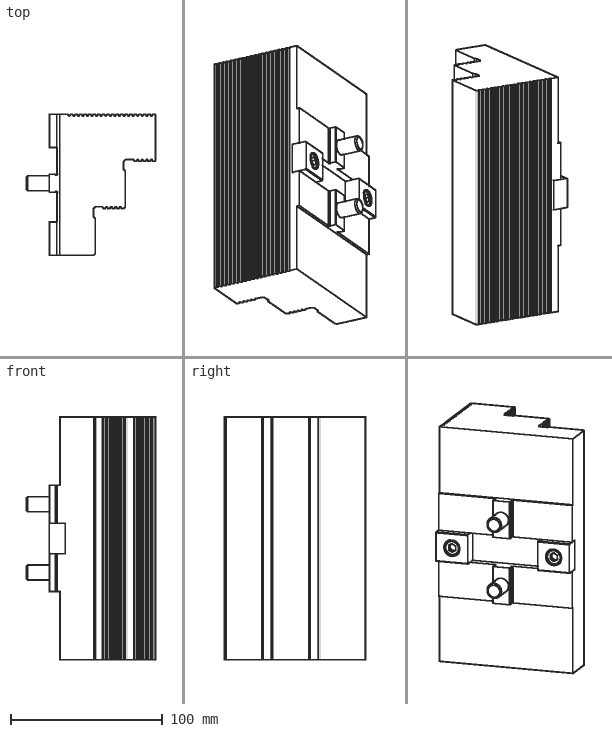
import cadquery as cq
import math


JAW_LENGTH = 160.0
JAW_WIDTH = 93.0
JAW_FRONT_X = 65.0
JAW_TOP_Y = 45.5
JAW_BOTTOM_Y = JAW_TOP_Y - JAW_WIDTH
STEP_HEIGHT = 31.0
STEP_DEPTH = 19.8
MIDDLE_FACE_X = JAW_FRONT_X - STEP_DEPTH
LOW_FACE_X = MIDDLE_FACE_X - STEP_DEPTH
FIRST_SHELF_Y = JAW_TOP_Y - STEP_HEIGHT
SECOND_SHELF_Y = FIRST_SHELF_Y - STEP_HEIGHT
OUTER_CORNER_RADIUS = 0.8
STEP_CORNER_CHAMFER = 1.1

GROOVE_DEPTH = 1.1
GROOVE_MOUTH = 1.8
GROOVE_FLOOR = 0.5
GROOVE_PITCH = 54.0 / 18
SIDE_GROOVE_COUNT = 19
SHELF_GROOVE_COUNT = 4
FRONT_LAND = 2.7
MIDDLE_LAND = 3.4
RELIEF_LENGTH = 5.3
RELIEF_RADIUS = 2.0

PAD_HEIGHT = 2.0
PAD_LENGTH = 70.0
TONGUE_HEIGHT = 5.1
TONGUE_WIDTH = 12.0
TONGUE_CHAMFER = 0.5
TONGUE_RELIEF_RADIUS = 0.6
TONGUE_RELIEF_OFFSET = 0.3
BLOCK_THICKNESS = 10.5
BLOCK_HEIGHT = 20.0
BLOCK_LENGTH = 22.0
BLOCK_CHAMFER = 0.5
BACK_X = -TONGUE_HEIGHT
SLOT_FLOOR_X = BACK_X + BLOCK_THICKNESS

PIN_DIAMETER = 10.0
PIN_CHAMFER = 1.0
PIN_TIP_X = JAW_FRONT_X - 85.0
PIN_SEAT_DEPTH = 14.9
PIN_SPACING = 45.0
PIN_LENGTH = BACK_X - PIN_TIP_X + PIN_SEAT_DEPTH

HEAD_DIAMETER = 10.0
HEAD_HEIGHT = 6.0
HEAD_CHAMFER = 0.5
HEAD_SINK = 0.5
COUNTERBORE_DIAMETER = 11.0
SHANK_DIAMETER = 6.0
SHANK_LENGTH = 15.0
SOCKET_WIDTH = 5.0
SOCKET_DEPTH = 3.0
SOCKET_CONE_DEPTH = SOCKET_WIDTH / 2 / math.tan(math.radians(60))
HEAD_X = BACK_X + HEAD_SINK
HEAD_SEAT_X = HEAD_X + HEAD_HEIGHT

BLOCK_CENTERS_Y = (JAW_TOP_Y - BLOCK_LENGTH / 2, JAW_BOTTOM_Y + BLOCK_LENGTH / 2)
PIN_CENTERS_Z = (-PIN_SPACING / 2, PIN_SPACING / 2)


def box(x_range, y_range, z_range):
    """Box between two limits on each axis."""
    (x0, x1), (y0, y1), (z0, z1) = x_range, y_range, z_range
    return cq.Workplane("XY").box(x1 - x0, y1 - y0, z1 - z0, centered=False).translate((x0, y0, z0))


def x_cylinder(diameter, x_start, length, y, z):
    """Cylinder along +X from x_start."""
    return cq.Workplane("YZ", origin=(x_start, y, z)).circle(diameter / 2).extrude(length)


def jaw_prism(outline):
    """Closed outline extruded over the whole jaw length."""
    return outline.extrude(JAW_LENGTH / 2, both=True)


def shelf_recess(wall_face_x, shelf_y, last_groove_x):
    """Recess along the inner corner of a step: sunk shelf, rounded corner and wall relief."""
    wall_x = wall_face_x - GROOVE_DEPTH
    floor_y = shelf_y + GROOVE_DEPTH
    relief_end_y = shelf_y - RELIEF_LENGTH
    arc_offset = RELIEF_RADIUS * (1 - math.sqrt(0.5))
    outline = (
        cq.Workplane("XY")
        .moveTo(wall_face_x, relief_end_y - GROOVE_DEPTH)
        .lineTo(wall_x, relief_end_y)
        .lineTo(wall_x, floor_y - RELIEF_RADIUS)
        .threePointArc((wall_x + arc_offset, floor_y - arc_offset), (wall_x + RELIEF_RADIUS, floor_y))
        .lineTo(last_groove_x + GROOVE_FLOOR / 2, floor_y)
        .lineTo(last_groove_x + GROOVE_MOUTH / 2, shelf_y)
        .lineTo(wall_face_x, shelf_y)
        .close()
    )
    return jaw_prism(outline)


def serrations(first_x, count, crest_y, inward):
    """Trapezoid grooves stepping toward -X; inward is the Y direction into the material."""
    grooves = cq.Workplane("XY")
    floor_y = crest_y + inward * GROOVE_DEPTH
    for index in range(count):
        x = first_x - index * GROOVE_PITCH
        outline = cq.Workplane("XY").polyline([
            (x - GROOVE_MOUTH / 2, crest_y),
            (x - GROOVE_FLOOR / 2, floor_y),
            (x + GROOVE_FLOOR / 2, floor_y),
            (x + GROOVE_MOUTH / 2, crest_y),
        ]).close()
        grooves = grooves.add(jaw_prism(outline))
    return grooves.combine()


def stepped_body():
    """Staircase prism with rounded and chamfered edges, serrated crests and relieved inner corners."""
    outline = cq.Workplane("XY").polyline([
        (PAD_HEIGHT, JAW_TOP_Y),
        (JAW_FRONT_X, JAW_TOP_Y),
        (JAW_FRONT_X, FIRST_SHELF_Y),
        (MIDDLE_FACE_X, FIRST_SHELF_Y),
        (MIDDLE_FACE_X, SECOND_SHELF_Y),
        (LOW_FACE_X, SECOND_SHELF_Y),
        (LOW_FACE_X, JAW_BOTTOM_Y),
        (PAD_HEIGHT, JAW_BOTTOM_Y),
    ]).close()
    body = jaw_prism(outline)

    def edge_at(x, y):
        return cq.selectors.NearestToPointSelector((x, y, 0))

    for y in (JAW_TOP_Y, FIRST_SHELF_Y):
        body = body.edges(edge_at(JAW_FRONT_X, y)).fillet(OUTER_CORNER_RADIUS)
    for x, y in ((MIDDLE_FACE_X, SECOND_SHELF_Y), (LOW_FACE_X, JAW_BOTTOM_Y)):
        body = body.edges(edge_at(x, y)).chamfer(STEP_CORNER_CHAMFER)

    front_groove_x = JAW_FRONT_X - FRONT_LAND
    middle_groove_x = MIDDLE_FACE_X - MIDDLE_LAND
    shelf_span = SHELF_GROOVE_COUNT * GROOVE_PITCH
    return (
        body
        .cut(serrations(front_groove_x, SIDE_GROOVE_COUNT, JAW_TOP_Y, -1))
        .cut(serrations(front_groove_x, SHELF_GROOVE_COUNT, FIRST_SHELF_Y, 1))
        .cut(serrations(middle_groove_x, SHELF_GROOVE_COUNT, SECOND_SHELF_Y, 1))
        .cut(shelf_recess(MIDDLE_FACE_X, FIRST_SHELF_Y, front_groove_x - shelf_span))
        .cut(shelf_recess(LOW_FACE_X, SECOND_SHELF_Y, middle_groove_x - shelf_span))
    )


def pad_and_tongue():
    """Raised pad carrying the chamfered tongue, with a round relief along each foot of the tongue."""
    z_range = (-PAD_LENGTH / 2, PAD_LENGTH / 2)
    half_width = TONGUE_WIDTH / 2
    pad = box((0, PAD_HEIGHT), (JAW_BOTTOM_Y, JAW_TOP_Y), z_range)
    tongue = box((BACK_X, 0), (-half_width, half_width), z_range)
    tongue = tongue.faces("<X").edges("|Z").chamfer(TONGUE_CHAMFER)
    relief_centers = [(-TONGUE_RELIEF_OFFSET, y) for y in (-half_width, half_width)]
    reliefs = (
        cq.Workplane("XY")
        .pushPoints(relief_centers)
        .circle(TONGUE_RELIEF_RADIUS)
        .extrude(PAD_LENGTH / 2, both=True)
    )
    return pad.union(tongue).cut(reliefs)


def make_jaw():
    """Complete jaw with cross slot, pin holes and screw holes."""
    jaw = stepped_body().union(pad_and_tongue())
    slot = box(
        (BACK_X, SLOT_FLOOR_X),
        (JAW_BOTTOM_Y, JAW_TOP_Y),
        (-BLOCK_HEIGHT / 2, BLOCK_HEIGHT / 2),
    )
    jaw = jaw.cut(slot)
    for z in PIN_CENTERS_Z:
        jaw = jaw.cut(x_cylinder(PIN_DIAMETER, BACK_X, PIN_SEAT_DEPTH, 0, z))
    for y in BLOCK_CENTERS_Y:
        jaw = jaw.cut(x_cylinder(SHANK_DIAMETER, HEAD_SEAT_X, SHANK_LENGTH, y, 0))
    return jaw


def make_pin(z):
    """Round pin with a chamfered tip, seated in the tongue."""
    return x_cylinder(PIN_DIAMETER, PIN_TIP_X, PIN_LENGTH, 0, z).faces("<X").chamfer(PIN_CHAMFER)


def make_block(y):
    """Key block with chamfered long edges and a counterbored screw hole."""
    block = box(
        (BACK_X, SLOT_FLOOR_X),
        (y - BLOCK_LENGTH / 2, y + BLOCK_LENGTH / 2),
        (-BLOCK_HEIGHT / 2, BLOCK_HEIGHT / 2),
    )
    block = block.faces("<X").edges("|Y").chamfer(BLOCK_CHAMFER)
    counterbore = x_cylinder(COUNTERBORE_DIAMETER, BACK_X, HEAD_SEAT_X - BACK_X, y, 0)
    hole = x_cylinder(SHANK_DIAMETER, BACK_X, BLOCK_THICKNESS, y, 0)
    return block.cut(counterbore).cut(hole)


def make_screw(y):
    """Cylinder head screw whose hexagon socket ends in a cone."""
    head = x_cylinder(HEAD_DIAMETER, HEAD_X, HEAD_HEIGHT, y, 0).faces("<X").chamfer(HEAD_CHAMFER)
    shank = x_cylinder(SHANK_DIAMETER, HEAD_SEAT_X, SHANK_LENGTH, y, 0)
    socket = (
        cq.Workplane("YZ", origin=(HEAD_X, y, 0))
        .polygon(6, SOCKET_WIDTH, circumscribed=True)
        .extrude(SOCKET_DEPTH)
    )
    cone = cq.Workplane(cq.Solid.makeCone(
        SOCKET_WIDTH / 2,
        0,
        SOCKET_CONE_DEPTH,
        pnt=cq.Vector(HEAD_X + SOCKET_DEPTH, y, 0),
        dir=cq.Vector(1, 0, 0),
    ))
    return head.union(shank).cut(socket).cut(cone)


jaw = make_jaw()
pins = [make_pin(z) for z in PIN_CENTERS_Z]
blocks = [make_block(y) for y in BLOCK_CENTERS_Y]
screws = [make_screw(y) for y in BLOCK_CENTERS_Y]

bodies = [jaw, *pins, *blocks, *screws]
result = cq.Compound.makeCompound([body.val() for body in bodies])